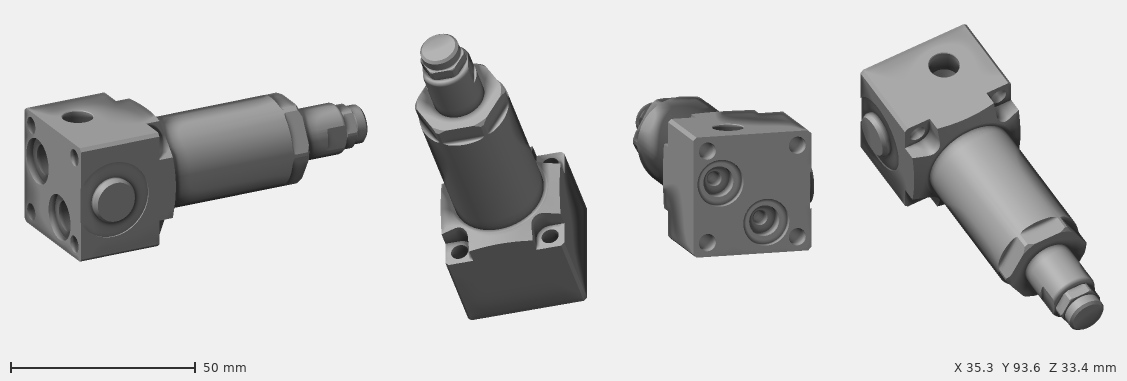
import cadquery as cq
import math

block_side = 33.35
half_side = block_side / 2
block_length = 30.2
edge_chamfer = 0.9
turned_angle = 23.0
turned_end_radius = 13.6

mount_pitch = 25.4
mount_diameter = 4.8
recess_radius = 3.8
recess_start = 23.9

port_centres = [(-9.0, 3.55), (3.95, -8.1)]
seal_diameter = 13.0
seal_depth = 2.0
port_diameter = 8.5
port_depth = 6.0
drilling_diameter = 3.5
drilling_mouth_diameter = 4.2
drilling_depth = 7.0
pilot_diameter = 2.0
pilot_depth = 5.0

port_level = 9.67
top_port_x = -4.0
top_port_diameter = 8.4
top_port_mouth_diameter = 8.8
top_port_depth = 7.0
drill_point_angle = 118.0

spotface_diameter = 21.8
spotface_depth = 0.4
plug_diameter = 12.6
plug_height = 1.99
plug_rim_height = 0.85
plug_end_diameter = 11.3

sleeve_diameter = 25.2
nut_start = 66.75
nut_across_flats = 22.3
nut_root_radius = 0.8
nut_end = 72.1
nut_chamfer_height = 0.9
nut_chamfer_width = 0.8

neck_diameter = 14.25
neck_end = 86.5
neck_round = 1.2
neck_flat_width = 12.7
neck_flat_start = 80.3
neck_flat_root_radius = 0.3

lock_nut_start = 86.65
lock_nut_end = 89.85
lock_nut_across_flats = 11.0
lock_nut_corner_diameter = 12.3
lock_nut_chamfer = 0.25
waist_diameter = 9.6
cap_start = 90.05
cap_end = 93.55
cap_diameter = 10.7
cap_end_chamfer = 0.7
cap_base_chamfer = 0.3


def rod(diameter, start, end, x=0.0, z=0.0):
    """Cylinder along +Y."""
    return cq.Workplane(cq.Solid.makeCylinder(
        diameter / 2, end - start, cq.Vector(x, start, z), cq.Vector(0, 1, 0)))


def turned(profile):
    """Solid turned about the Y axis from (radius, Y) points."""
    return cq.Workplane("XY").polyline(profile).close().revolve(360, (0, 0, 0), (0, 1, 0))


def cone(base, direction, base_diameter, end_diameter, height):
    return cq.Workplane(cq.Solid.makeCone(
        base_diameter / 2, end_diameter / 2, height, cq.Vector(*base), cq.Vector(*direction)))


def drill_point_height(diameter):
    return diameter / 2 / math.tan(math.radians(drill_point_angle / 2))


def drill(base, direction, diameter, depth):
    """Blind drilling with a conical bottom."""
    start = cq.Vector(*base)
    axis = cq.Vector(*direction)
    shank = cq.Workplane(cq.Solid.makeCylinder(diameter / 2, depth, start, axis))
    bottom = start + axis * depth
    point = cone(bottom.toTuple(), direction, diameter, 0, drill_point_height(diameter))
    return shank.union(point)


def chamfered_drill(base, direction, diameter, depth, mouth_diameter):
    """Blind drilling with a 45 degree chamfer at its mouth."""
    mouth = cone(base, direction, mouth_diameter, diameter, (mouth_diameter - diameter) / 2)
    return drill(base, direction, diameter, depth).union(mouth)


def make_block():
    block = (
        cq.Workplane("XY")
        .box(block_side, block_length, block_side)
        .translate((0, block_length / 2, 0))
        .edges("|Y")
        .chamfer(edge_chamfer)
    )
    corner_radius = half_side * math.sqrt(2)
    cone_drop = (corner_radius - turned_end_radius) * math.tan(math.radians(turned_angle))
    envelope = turned([
        (0, 0),
        (corner_radius, 0),
        (corner_radius, block_length - cone_drop),
        (turned_end_radius, block_length),
        (0, block_length),
    ])
    return block.intersect(envelope)


def make_corner_recess(x_side, z_side):
    """Square recess at a rear corner, its inner edge rounded about the mounting hole."""
    inner = mount_pitch / 2 - recess_radius
    size = half_side - inner + recess_radius
    length = block_length - recess_start
    centre = inner + size / 2
    return (
        cq.Workplane("XY")
        .box(size, length, size)
        .edges("|Y")
        .fillet(recess_radius)
        .translate((x_side * centre, recess_start + length / 2, z_side * centre))
    )


def cut_mounting(body):
    for x_side in (-1, 1):
        for z_side in (-1, 1):
            x = x_side * mount_pitch / 2
            z = z_side * mount_pitch / 2
            body = body.cut(rod(mount_diameter, 0, block_length, x, z))
            body = body.cut(make_corner_recess(x_side, z_side))
    return body


def cut_front_ports(body):
    for x, z in port_centres:
        body = body.cut(rod(seal_diameter, 0, seal_depth, x, z))
        body = body.cut(rod(port_diameter, 0, port_depth, x, z))
        body = body.cut(chamfered_drill(
            (x, port_depth, z), (0, 1, 0), drilling_diameter, drilling_depth, drilling_mouth_diameter))
    pilot_x, pilot_z = port_centres[0]
    pilot_start = port_depth + drilling_depth
    pilot = drill((pilot_x, pilot_start, pilot_z), (0, 1, 0), pilot_diameter, pilot_depth)
    return body.cut(pilot)


def cut_top_port(body):
    return body.cut(chamfered_drill(
        (top_port_x, port_level, half_side), (0, 0, -1),
        top_port_diameter, top_port_depth, top_port_mouth_diameter))


def add_side_plug(body):
    floor_x = half_side - spotface_depth
    axis = cq.Vector(1, 0, 0)
    floor_centre = cq.Vector(floor_x, port_level, 0)
    body = body.cut(cq.Workplane(cq.Solid.makeCylinder(
        spotface_diameter / 2, spotface_depth, floor_centre, axis)))
    rim_height = spotface_depth + plug_rim_height
    rim = cq.Workplane(cq.Solid.makeCylinder(plug_diameter / 2, rim_height, floor_centre, axis))
    end = cone(
        (half_side + plug_rim_height, port_level, 0), (1, 0, 0),
        plug_diameter, plug_end_diameter, plug_height - plug_rim_height)
    return body.union(rim).union(end)


def make_sleeve():
    """Sleeve with a chamfered rear end and six milled nut flats."""
    radius = sleeve_diameter / 2
    sleeve = turned([
        (0, block_length),
        (radius, block_length),
        (radius, nut_end - nut_chamfer_height),
        (radius - nut_chamfer_width, nut_end),
        (0, nut_end),
    ])
    cut_length = nut_end - nut_start + nut_root_radius
    flat_cut = (
        cq.Workplane("XY")
        .box(sleeve_diameter, cut_length, sleeve_diameter)
        .edges("<Y and <Z")
        .fillet(nut_root_radius)
        .translate((0, nut_start + cut_length / 2, (nut_across_flats + sleeve_diameter) / 2))
    )
    for index in range(6):
        sleeve = sleeve.cut(flat_cut.rotate((0, 0, 0), (0, 1, 0), index * 60))
    return sleeve


def make_neck():
    neck = rod(neck_diameter, nut_end, neck_end).faces(">Y").edges().fillet(neck_round)
    flat_length = neck_end - neck_flat_start
    flat_cut = (
        cq.Workplane("XY")
        .box(neck_diameter, flat_length, neck_diameter)
        .edges("<X and <Y")
        .fillet(neck_flat_root_radius)
        .translate(((neck_flat_width + neck_diameter) / 2, neck_flat_start + flat_length / 2, 0))
    )
    return neck.cut(flat_cut).cut(flat_cut.mirror("YZ"))


def make_lock_nut():
    length = lock_nut_end - lock_nut_start
    across_corners = lock_nut_across_flats / math.cos(math.radians(30))
    hexagon = (
        cq.Workplane("XZ", origin=(0, lock_nut_start, 0))
        .polygon(6, across_corners)
        .extrude(-length)
    )
    envelope = (
        rod(lock_nut_corner_diameter, lock_nut_start, lock_nut_end)
        .edges("%CIRCLE")
        .chamfer(lock_nut_chamfer)
    )
    return hexagon.intersect(envelope)


def make_cap():
    cap = rod(cap_diameter, cap_start, cap_end)
    cap = cap.faces(">Y").edges().chamfer(cap_end_chamfer)
    return cap.faces("<Y").edges().chamfer(cap_base_chamfer)


body = cut_mounting(make_block())
body = cut_front_ports(body)
body = cut_top_port(body)
body = add_side_plug(body)

result = (
    body
    .union(make_sleeve())
    .union(make_neck())
    .union(rod(waist_diameter, neck_end, cap_start))
    .union(make_lock_nut())
    .union(make_cap())
)